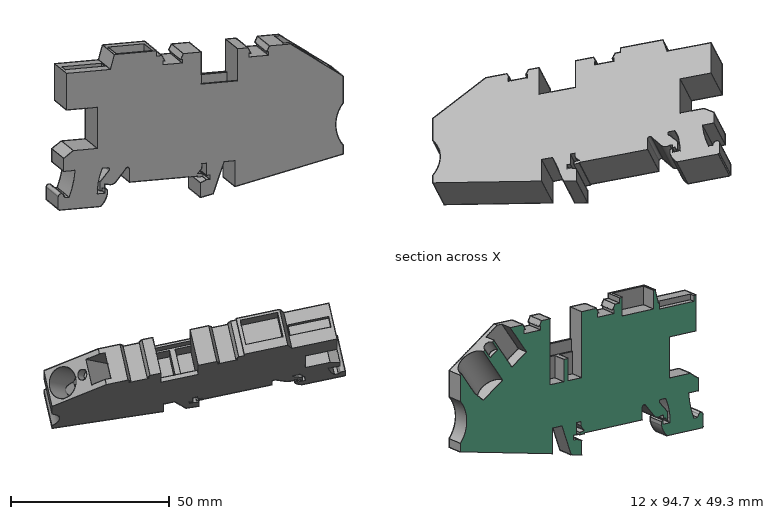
import cadquery as cq
import math

width = 12.0
length = 94.7
height = 49.3
mid_x = width / 2

deck_z = 47.6
step_z = 44.6
gap_floor_z = 37.1
foot_slot_z = 11.1
rail_z = 7.1

slope_low_z = 35.5
slope_top_y = 77.2
slope_tilt = math.atan2(deck_z - slope_low_z, length - slope_top_y)

gap_front_y = 47.5
gap_rear_y = 59.6

groove_rear_y = 69.8
groove_pitch = 28.6
groove_width = 6.3
lip_z = 45.7
lip_reach = 0.6
lip_setback = 0.4

block_rear_y = 32.7
block_front_top_y = 18.65
block_front_foot_y = 17.3
step_front_y = 2.7
step_underside_z = 32.6

recess_y = 13.0
ledge_z = 19.1
ledge_chamfer_y = 5.0
ledge_chamfer_z = 16.9
ledge_front_y = 1.8
ledge_underside_z = 12.6

lever_top_y = 5.6
lever_foot_y = 3.6
lever_groove_y = 2.4
lever_groove_z = 4.0
bead_radius = 0.9
bead_z = 4.45
bead_angle = math.radians(30)
foot_chamfer = 0.4
foot_rear_y = 14.1

hook_outer_y = 16.4
hook_inner_y = 15.5
hook_bend_z = 4.0
hook_top_z = 5.7
hook_gap = 0.3
hook_slot_floor_z = 4.3
hook_edge_break = 0.5
tongue_front_y = 13.8
tongue_top_z = 8.05
tongue_tip_z = 5.1
tongue_tip_width = 0.6
tongue_step_width = 0.85
spring_slot_top_z = 12.5
spring_slot_rear_y = 16.95

seat_front_y = 23.7
seat_rear_y = 46.3
barb_tip_y = 48.1
barb_bottom_z = 6.8
barb_tip_z = 7.7
barb_top_z = 8.05
barb_slot_y = 47.7

claw_y = 49.2
claw_notch_y = 50.4
claw_notch_z = 5.7
claw_tip_y = 47.2
claw_tip_z = 4.8
claw_heel_y = 51.5
claw_heel_z = 0.85
claw_root_y = 55.1

belly_y = 58.7
belly_low_z = 2.6
belly_rear_z = 10.0
finger_low_z = 13.0
finger_high_z = 26.8
finger_depth = 2.5


def trace(outline, points):
    """Add straight lines through the points."""
    for point in points:
        outline = outline.lineTo(*point)
    return outline


def marker_groove(rear_y):
    """Points of one marker groove, from the rear lip to the front lip."""
    front_y = rear_y - groove_width
    return [
        (rear_y + lip_setback, deck_z),
        (rear_y - lip_reach, lip_z),
        (rear_y, lip_z),
        (rear_y, step_z),
        (front_y, step_z),
        (front_y, lip_z),
        (front_y + lip_reach, lip_z),
        (front_y - lip_setback, deck_z),
    ]


def add_deck(outline):
    """Top of the housing, from the slope forward to the ledge above the lever."""
    outline = trace(outline, marker_groove(groove_rear_y))
    outline = trace(outline, [
        (gap_rear_y, deck_z),
        (gap_rear_y, gap_floor_z),
        (gap_front_y, gap_floor_z),
        (gap_front_y, deck_z),
    ])
    outline = trace(outline, marker_groove(groove_rear_y - groove_pitch))
    return trace(outline, [
        (block_rear_y, deck_z),
        (block_rear_y, height),
        (block_front_top_y, height),
        (block_front_foot_y, step_z),
        (step_front_y, step_z),
        (step_front_y, step_underside_z),
        (recess_y, step_underside_z),
        (recess_y, ledge_z),
        (ledge_chamfer_y, ledge_z),
        (ledge_front_y, ledge_chamfer_z),
        (ledge_front_y, ledge_underside_z),
        (lever_top_y, ledge_underside_z),
    ])


def add_lever_and_foot(outline):
    """Bowed lever front, rounded bead and flat underside of the foot."""
    outline = outline.threePointArc((4.9, 8.2), (lever_foot_y, lever_groove_z))
    outline = outline.lineTo(lever_groove_y, lever_groove_z)
    outline = outline.lineTo(
        bead_radius * (1 + math.cos(bead_angle)), bead_z + bead_radius * math.sin(bead_angle)
    )
    outline = outline.threePointArc((bead_radius, bead_z + bead_radius), (0, bead_z))
    return trace(outline, [(0, foot_chamfer), (foot_chamfer, 0), (foot_rear_y, 0)])


def add_catch(outline):
    """Catch hook, the narrow slot behind the spring tongue, the tongue and its curved outer side."""
    outline = outline.threePointArc((15.6, 2.0), (hook_outer_y, hook_bend_z))
    outline = trace(outline, [
        (hook_outer_y, hook_top_z - hook_edge_break),
        (hook_outer_y - hook_edge_break, hook_top_z),
        (hook_inner_y, hook_top_z),
        (hook_inner_y, hook_slot_floor_z),
        (recess_y, hook_slot_floor_z),
        (recess_y, hook_top_z),
    ])
    outline = outline.threePointArc((13.4, 8.8), (14.5, 12.1))
    outline = trace(outline, [(14.8, spring_slot_top_z), (16.5, spring_slot_top_z)])
    outline = outline.threePointArc((spring_slot_rear_y, 12.2), (16.9, 11.55))
    tongue_bottom_z = hook_top_z + hook_gap
    outline = trace(outline, [
        (tongue_front_y, tongue_top_z),
        (tongue_front_y, tongue_tip_z),
        (tongue_front_y + tongue_tip_width, tongue_tip_z),
        (tongue_front_y + tongue_step_width, tongue_bottom_z),
        (hook_inner_y, tongue_bottom_z),
        (hook_inner_y, rail_z),
        (hook_outer_y, rail_z),
    ])
    outline = outline.threePointArc((18.0, 6.9), (19.3, 7.8)).lineTo(22.3, 11.55)
    return outline.threePointArc((23.1, 12.0), (seat_front_y, 11.4))


def add_rail_side(outline):
    """Rail seat, barb, fixed claw and tapered belly."""
    outline = trace(outline, [
        (seat_front_y, rail_z),
        (seat_rear_y, rail_z),
        (seat_rear_y, barb_bottom_z),
        (barb_tip_y, barb_bottom_z),
        (barb_tip_y, barb_tip_z),
        (seat_rear_y, barb_top_z),
    ])
    outline = outline.threePointArc((47.15, 8.8), (barb_slot_y, 9.8))
    return trace(outline, [
        (barb_slot_y, foot_slot_z),
        (claw_y, foot_slot_z),
        (claw_y, rail_z),
        (claw_notch_y, rail_z),
        (claw_notch_y, claw_notch_z),
        (claw_y, claw_notch_z),
        (claw_tip_y, claw_tip_z),
        (claw_tip_y, 0),
        (claw_heel_y, claw_heel_z),
        (claw_root_y, foot_slot_z),
        (belly_y, foot_slot_z),
        (belly_y, belly_low_z),
        (length, belly_rear_z),
        (length, finger_low_z),
    ])


def housing():
    """Solid housing with the full side outline, without pockets."""
    outline = cq.Workplane("YZ").moveTo(length, slope_low_z).lineTo(slope_top_y, deck_z)
    outline = add_deck(outline)
    outline = add_lever_and_foot(outline)
    outline = add_catch(outline)
    outline = add_rail_side(outline)
    finger_mid = (length - finger_depth, (finger_low_z + finger_high_z) / 2)
    outline = outline.threePointArc(finger_mid, (length, finger_high_z))
    return outline.close().extrude(width)


def top_pocket(x_min, x_size, y_min, y_size, top_z, depth):
    """Straight pocket sunk from a level surface."""
    pocket = cq.Workplane("XY").box(x_size, y_size, depth, centered=False)
    return pocket.translate((x_min, y_min, top_z - depth))


def bridge_shaft():
    """Shared recess in the gap floor, with two deeper wells either side of a rib."""
    shaft_x = 1.4
    recess_width = 9.8
    recess_depth = 4.0
    well_width = 9.3
    well_length = 5.1
    well_depth = 11.4
    gap_length = gap_rear_y - gap_front_y
    shaft = top_pocket(shaft_x, recess_width, gap_front_y, gap_length, gap_floor_z, recess_depth)
    for well_y in (gap_front_y, gap_rear_y - well_length):
        well = top_pocket(shaft_x, well_width, well_y, well_length, gap_floor_z, well_depth)
        shaft = shaft.union(well)
    return shaft


def block_socket():
    """Rectangular socket in the raised block."""
    return top_pocket(x_min=3.0, x_size=8.1, y_min=19.5, y_size=12.0, top_z=height, depth=6.2)


def label_slot():
    """Shallow slot along the middle of the front step."""
    slot_width = 3.5
    return top_pocket(
        x_min=mid_x - slot_width / 2, x_size=slot_width, y_min=3.8, y_size=13.2, top_z=step_z, depth=1.9
    )


def slope_z(y):
    """Height of the sloped face at y."""
    return slope_low_z + (length - y) * math.tan(slope_tilt)


def slope_plane(y):
    """Plane on the sloped face at y, with local Y running up the slope toward the deck."""
    return cq.Workplane(cq.Plane(
        origin=(mid_x, y, slope_z(y)),
        xDir=(-1, 0, 0),
        normal=(0, math.sin(slope_tilt), math.cos(slope_tilt)),
    ))


def test_hole():
    """Small blind hole, square to the slope."""
    hole_y = 83.6
    diameter = 3.4
    depth = 3.6
    return slope_plane(hole_y).circle(diameter / 2).extrude(-depth)


def cable_entry():
    """Round cable hole, square to the slope, with a steep wire ramp at the low side of its bottom."""
    entry_y = 89.9
    radius = 10.1 / 2
    depth = 13.3
    ramp_start = 9.0
    ramp_angle = math.radians(14.3)
    ramp_run = (depth - ramp_start) * math.tan(ramp_angle)
    hole = slope_plane(entry_y).circle(radius).extrude(-depth)
    profile = []
    for along, down in [(-radius, ramp_start), (-radius, depth), (ramp_run - radius, depth)]:
        y = entry_y - along * math.cos(slope_tilt) - down * math.sin(slope_tilt)
        z = slope_z(entry_y) + along * math.sin(slope_tilt) - down * math.cos(slope_tilt)
        profile.append((y, z))
    ramp = cq.Workplane("YZ").polyline(profile).close().extrude(width)
    return hole.cut(ramp)


def actuation_opening():
    """Rectangular shaft, square to the slope, that breaks out through the deck edge."""
    low_y = 81.5
    high_y = 75.4
    opening_width = 8.5
    depth = 12.3
    run = low_y - high_y
    rise = deck_z - slope_z(low_y)
    span = run * math.cos(slope_tilt) + rise * math.sin(slope_tilt)
    return slope_plane(low_y).center(0, span / 2).rect(opening_width, span).extrude(-depth)


result = (
    housing()
    .cut(bridge_shaft())
    .cut(block_socket())
    .cut(label_slot())
    .cut(test_hole())
    .cut(cable_entry())
    .cut(actuation_opening())
)